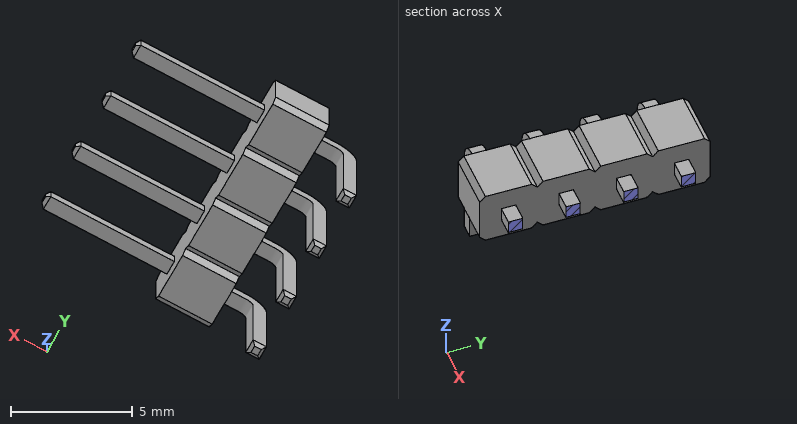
import cadquery as cq

pin_count = 4
pitch = 2.54
housing_size = 2.54
housing_chamfer = 0.25

pin_width = 0.635
mating_length = 6.0
bend_offset = 1.82
leg_drop = 4.91
bend_outer_radius = 0.96
tip_chamfer = 0.16

row_length = pin_count * pitch


def make_segment(y_center):
    """One octagonal housing segment; neighbouring bevels form the V notches."""
    return (
        cq.Workplane("XY")
        .box(housing_size, pitch, housing_size)
        .edges("|X")
        .chamfer(housing_chamfer)
        .translate((housing_size / 2, y_center, 0))
    )


def make_pin(y_center):
    """One square pin bent down behind the housing, bevelled at both tips."""
    half_width = pin_width / 2
    rear_x = -bend_offset
    front_x = housing_size + mating_length
    bend_inner_radius = bend_outer_radius - pin_width
    bend_x = rear_x + bend_outer_radius
    bend_z = half_width - bend_outer_radius

    side_profile = (
        cq.Workplane("XZ")
        .moveTo(front_x, half_width)
        .lineTo(bend_x, half_width)
        .radiusArc((rear_x, bend_z), -bend_outer_radius)
        .lineTo(rear_x, -leg_drop)
        .lineTo(rear_x + pin_width, -leg_drop)
        .lineTo(rear_x + pin_width, bend_z)
        .radiusArc((bend_x, -half_width), bend_inner_radius)
        .lineTo(front_x, -half_width)
        .close()
    )
    pin = side_profile.extrude(half_width, both=True)
    pin = pin.faces(">X").chamfer(tip_chamfer)
    pin = pin.faces("<Z").chamfer(tip_chamfer)
    return pin.translate((0, y_center, 0))


first_y = (pitch - row_length) / 2
pin_positions = [first_y + index * pitch for index in range(pin_count)]

result = make_segment(pin_positions[0])
for y_center in pin_positions[1:]:
    result = result.union(make_segment(y_center))
result = result.clean()
for y_center in pin_positions:
    result = result.union(make_pin(y_center))